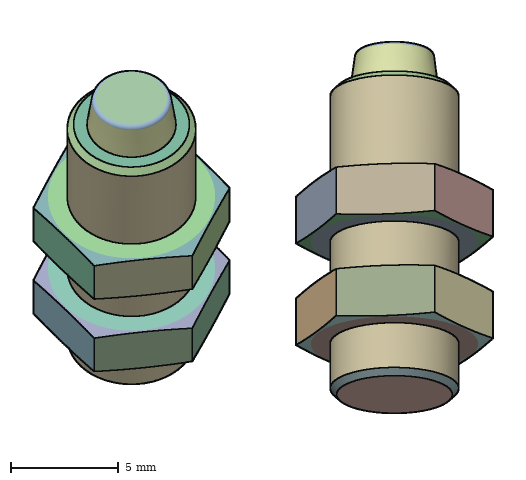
import cadquery as cq
import math

total_height = 16.8
body_diameter = 6.0
body_height = 15.0
body_chamfer = 0.3

button_base_diameter = 4.15
button_top_diameter = 3.66
button_fillet = 0.2
button_height = total_height - body_height

nut_width = 8.0
nut_corner_diameter = nut_width / math.cos(math.pi / 6)
nut_thickness = 2.5
nut_spacing = 2 * nut_thickness
lower_nut_base = 2.5
nut_face_diameter = 7.8
nut_corner_drop = 0.1
nut_count = 2


def make_plunger():
    """Cylindrical body, chamfered at both ends, with a rounded tapered button."""
    body = (
        cq.Workplane("XY")
        .circle(body_diameter / 2)
        .extrude(body_height)
        .edges("%CIRCLE")
        .chamfer(body_chamfer)
    )
    button = (
        cq.Workplane("XY", origin=(0, 0, body_height))
        .circle(button_base_diameter / 2)
        .workplane(offset=button_height)
        .circle(button_top_diameter / 2)
        .loft(ruled=True)
        .faces(">Z")
        .edges()
        .fillet(button_fillet)
    )
    return body.union(button)


def make_nut(base_z):
    """Hexagonal nut with corners bevelled at both faces and a bore fitting the body."""
    hexagon = (
        cq.Workplane("XY")
        .polygon(6, nut_corner_diameter)
        .extrude(nut_thickness)
        .rotate((0, 0, 0), (0, 0, 1), 30)
    )
    face_radius = nut_face_diameter / 2
    corner_radius = nut_corner_diameter / 2
    bevel_envelope = (
        cq.Workplane("XZ")
        .moveTo(0, 0)
        .lineTo(face_radius, 0)
        .lineTo(corner_radius, nut_corner_drop)
        .lineTo(corner_radius, nut_thickness - nut_corner_drop)
        .lineTo(face_radius, nut_thickness)
        .lineTo(0, nut_thickness)
        .close()
        .revolve(360, (0, 0, 0), (0, 1, 0))
    )
    bore = cq.Workplane("XY").circle(body_diameter / 2).extrude(nut_thickness)
    return hexagon.intersect(bevel_envelope).cut(bore).translate((0, 0, base_z))


plunger = make_plunger()
nuts = [make_nut(lower_nut_base + i * nut_spacing) for i in range(nut_count)]

result = cq.Compound.makeCompound([plunger.solids().val(), *[nut.solids().val() for nut in nuts]])